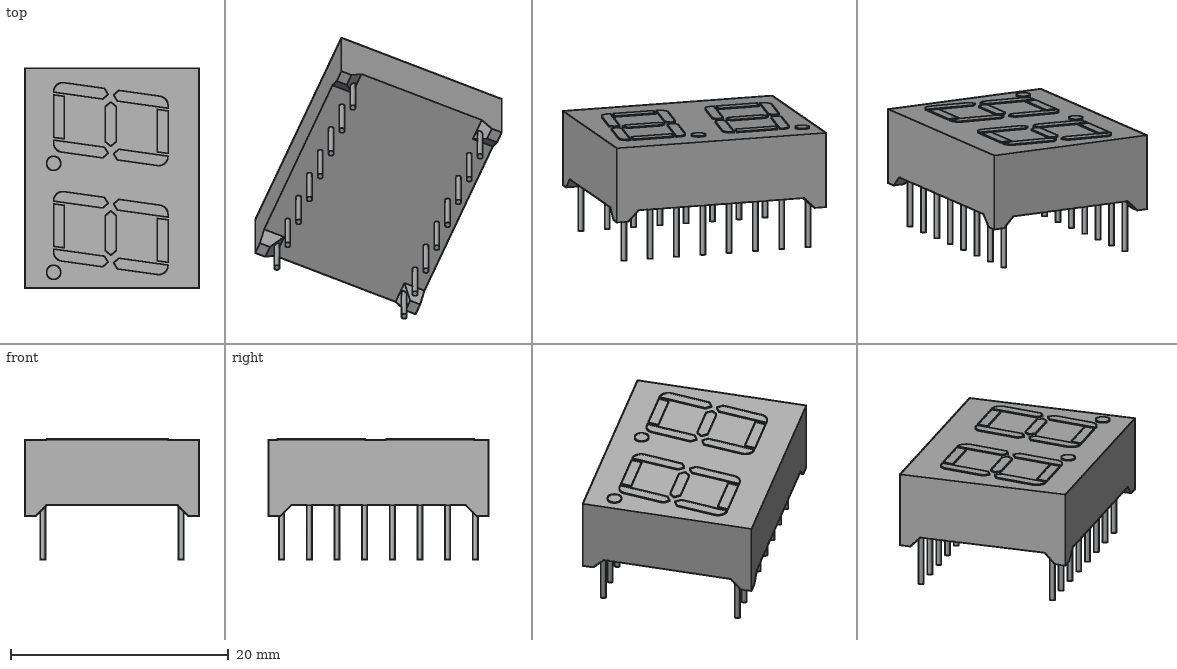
import math

import cadquery as cq

BODY_X = 16.0
BODY_Y = 20.2
BODY_Z = 7.0

RELIEF_DEPTH = 1.0
RELIEF_SLOPE_RUN = 1.0
FOOT_X = 1.0
FOOT_Y = 1.1

PIN_DIAMETER = 0.5
PIN_LENGTH = 4.0
PIN_PITCH = 2.54
PIN_ROW_SPACING = 5 * PIN_PITCH
PINS_PER_ROW = 8

DIGIT_CENTER_X = -0.11
DIGIT_CENTERS_Y = (4.96, -5.04)
DIGIT_LENGTH = 10.5
DIGIT_WIDTH = 6.4
SLANT = math.tan(math.radians(8.0))
STROKE = 1.0
STROKE_GAP = 0.25
RAISED_HEIGHT = 0.1
CORNER_RADIUS = 0.85

TIP_OFFSET = 0.25
TIP_LENGTH = 0.42
MIDDLE_HALF_LENGTH = 2.03

DOT_DIAMETER = 1.3
DOT_X = -5.25
DOT_Y = -3.6


def slanted(x, y):
    """Shear a point of the upright digit into the slanted digit."""
    return (x, y - SLANT * x)


def relief(span, through, workplane):
    """Trapezoidal channel, widest at Z = 0, running along the workplane normal."""
    half_bottom = span / 2
    half_top = half_bottom - RELIEF_SLOPE_RUN
    outline = [
        (-half_bottom, 0),
        (half_bottom, 0),
        (half_top, RELIEF_DEPTH),
        (-half_top, RELIEF_DEPTH),
    ]
    return cq.Workplane(workplane).polyline(outline).close().extrude(through / 2, both=True)


def housing():
    block = cq.Workplane("XY").box(BODY_X, BODY_Y, BODY_Z, centered=(True, True, False))
    block = block.cut(relief(BODY_X - 2 * FOOT_X, BODY_Y, "XZ"))
    return block.cut(relief(BODY_Y - 2 * FOOT_Y, BODY_X, "YZ"))


def pins():
    """Two rows of pins reaching up to the recessed underside."""
    return (
        cq.Workplane("XY")
        .workplane(offset=-PIN_LENGTH)
        .rarray(PIN_ROW_SPACING, PIN_PITCH, 2, PINS_PER_ROW)
        .circle(PIN_DIAMETER / 2)
        .extrude(PIN_LENGTH + RELIEF_DEPTH)
    )


def raised(outline):
    """Thin plate standing on the top face."""
    return cq.Workplane("XY", origin=(0, 0, BODY_Z)).polyline(outline).close().extrude(RAISED_HEIGHT)


def long_stroke(side):
    """Upper slanted stroke: pointed near the middle, rounded outside. side is -1 for left, 1 for right."""
    outer_y = DIGIT_WIDTH / 2
    inner_y = outer_y - STROKE
    end_x = side * DIGIT_LENGTH / 2
    tip_x = side * TIP_OFFSET
    shoulder_x = side * (TIP_OFFSET + TIP_LENGTH)
    square_shift = SLANT * STROKE / 2
    corner = slanted(end_x, outer_y)
    plate = raised([
        slanted(end_x, inner_y),
        corner,
        slanted(shoulder_x + square_shift, outer_y),
        slanted(tip_x, outer_y - STROKE / 2),
        slanted(shoulder_x - square_shift, inner_y),
    ])
    corner_edge = cq.selectors.NearestToPointSelector((*corner, BODY_Z + RAISED_HEIGHT / 2))
    return plate.edges("|Z").edges(corner_edge).fillet(CORNER_RADIUS)


def end_stroke():
    """Stroke along Y that closes the left end of the digit."""
    outer_x = -DIGIT_LENGTH / 2
    inner_x = outer_x + STROKE
    half_length = DIGIT_WIDTH / 2 - STROKE - STROKE_GAP
    return raised([
        slanted(outer_x, -half_length),
        slanted(inner_x, -half_length),
        slanted(inner_x, half_length),
        slanted(outer_x, half_length),
    ])


def middle_stroke():
    """Stroke along Y through the digit centre, pointed at both ends."""
    half_width = STROKE / 2
    shoulder_y = MIDDLE_HALF_LENGTH - TIP_LENGTH
    return raised([
        (-half_width, -shoulder_y),
        (0, -MIDDLE_HALF_LENGTH),
        (half_width, -shoulder_y),
        (half_width, shoulder_y),
        (0, MIDDLE_HALF_LENGTH),
        (-half_width, shoulder_y),
    ])


def decimal_point():
    return (
        cq.Workplane("XY", origin=(DOT_X, DOT_Y, BODY_Z))
        .circle(DOT_DIAMETER / 2)
        .extrude(RAISED_HEIGHT)
    )


def digit_pieces():
    """Raised pieces of one digit centred on the Z axis; paired strokes repeat by a half turn."""
    pieces = [middle_stroke(), decimal_point()]
    for stroke in (long_stroke(-1), long_stroke(1), end_stroke()):
        pieces.append(stroke)
        pieces.append(stroke.rotate((0, 0, 0), (0, 0, 1), 180))
    return pieces


result = housing().union(pins())
for center_y in DIGIT_CENTERS_Y:
    for piece in digit_pieces():
        result = result.union(piece.translate((DIGIT_CENTER_X, center_y, 0)))